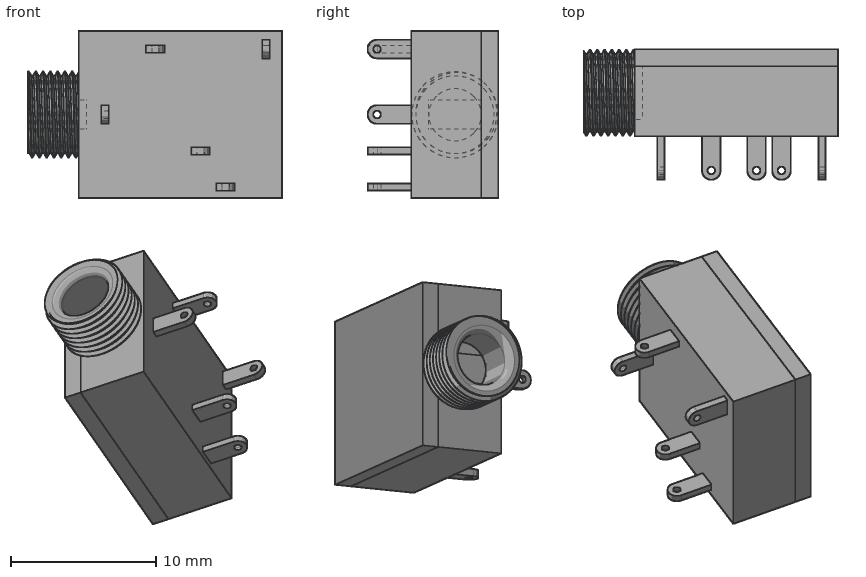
import cadquery as cq
import math

BUSHING_LENGTH = 3.5
BOX_LENGTH = 14.0
BOX_DEPTH = 6.0
BOX_HEIGHT = 11.5
COVER_THICKNESS = 1.19
FRONT_FACE_Y = -BOX_DEPTH / 2
BACK_FACE_Y = BOX_DEPTH / 2
JOINT_Y = BACK_FACE_Y - COVER_THICKNESS

BORE_DIAMETER = 3.6
MOUTH_RADIUS = 0.5
THREAD_DIAMETER = 5.93
CORE_DIAMETER = 5.35
THREAD_PITCH = 0.5
THREAD_FLANK_ANGLE = 30.0
CREST_WIDTH = 0.04
THREAD_ROOT_OVERLAP = 0.05
FIRST_CREST_X = 0.05

SHEET_THICKNESS = 0.5
TERMINAL_WIDTH = 1.3
TERMINAL_LENGTH = 3.0
TERMINAL_HOLE_DIAMETER = 0.5
CONTACT_HEIGHT = 2.0
CONTACT_WIDTH = 2 * JOINT_Y

TERMINAL_PLACES = [
    (5.3, 0.0, True),
    (16.38, 4.5, True),
    (8.77, 4.5, False),
    (11.88, -2.5, False),
    (13.6, -4.99, False),
]


def box_between(x_start, length, y_start, y_end, height):
    """Block centred on Z = 0."""
    block = cq.Workplane("XY").box(length, y_end - y_start, height, centered=(False, False, True))
    return block.translate((x_start, y_start, 0))


def make_contact():
    """Flat bar flush with the housing wall behind the bore."""
    return box_between(
        BUSHING_LENGTH, SHEET_THICKNESS, -CONTACT_WIDTH / 2, CONTACT_WIDTH / 2, CONTACT_HEIGHT
    )


def make_housing():
    """Main block, with a recess that holds the contact."""
    block = box_between(BUSHING_LENGTH, BOX_LENGTH, FRONT_FACE_Y, JOINT_Y, BOX_HEIGHT)
    return block.cut(make_contact())


def make_cover():
    return box_between(BUSHING_LENGTH, BOX_LENGTH, JOINT_Y, BACK_FACE_Y, BOX_HEIGHT)


def make_thread():
    """Right-handed ridge along +X that runs past both ends of the bushing."""
    crest_radius = THREAD_DIAMETER / 2
    root_radius = CORE_DIAMETER / 2 - THREAD_ROOT_OVERLAP
    flank_run = (crest_radius - root_radius) * math.tan(math.radians(THREAD_FLANK_ANGLE))
    crest_half = CREST_WIDTH / 2
    root_half = crest_half + flank_run

    helix_length = BUSHING_LENGTH + 3 * THREAD_PITCH
    helix = cq.Wire.makeHelix(THREAD_PITCH, helix_length, root_radius)
    profile = cq.Workplane("XZ").polyline([
        (root_radius, -root_half),
        (crest_radius, -crest_half),
        (crest_radius, crest_half),
        (root_radius, root_half),
    ]).close()
    ridge = profile.sweep(cq.Workplane(obj=helix), isFrenet=True)

    ridge = ridge.rotate((0, 0, 0), (0, 1, 0), 90)
    start_x = FIRST_CREST_X - 1.5 * THREAD_PITCH
    return ridge.translate((start_x, 0, 0))


def make_bushing():
    """Threaded tube with a rounded mouth."""
    core = cq.Workplane("YZ").circle(CORE_DIAMETER / 2).extrude(BUSHING_LENGTH)
    envelope = cq.Workplane("YZ").circle(THREAD_DIAMETER).extrude(BUSHING_LENGTH)
    threaded = core.union(make_thread().intersect(envelope))

    bore_radius = BORE_DIAMETER / 2
    mouth_edge_radius = bore_radius + MOUTH_RADIUS
    arc_offset = MOUTH_RADIUS * (1 - math.sqrt(0.5))
    bore = (
        cq.Workplane("XY")
        .moveTo(0, 0)
        .lineTo(0, mouth_edge_radius)
        .threePointArc((arc_offset, bore_radius + arc_offset), (MOUTH_RADIUS, bore_radius))
        .lineTo(BUSHING_LENGTH, bore_radius)
        .lineTo(BUSHING_LENGTH, 0)
        .close()
        .revolve(360, (0, 0, 0), (1, 0, 0))
    )
    return threaded.cut(bore)


def make_terminal(x, z, faces_along_x):
    """Round-ended tab with a hole, standing on the front face of the housing."""
    half_width = TERMINAL_WIDTH / 2
    hole_y = half_width - TERMINAL_LENGTH
    tab = (
        cq.Workplane("XY")
        .moveTo(-half_width, 0)
        .lineTo(-half_width, hole_y)
        .threePointArc((0, -TERMINAL_LENGTH), (half_width, hole_y))
        .lineTo(half_width, 0)
        .close()
        .extrude(SHEET_THICKNESS / 2, both=True)
    )
    hole = (
        cq.Workplane("XY")
        .center(0, hole_y)
        .circle(TERMINAL_HOLE_DIAMETER / 2)
        .extrude(SHEET_THICKNESS, both=True)
    )
    tab = tab.cut(hole)
    if faces_along_x:
        tab = tab.rotate((0, 0, 0), (0, 1, 0), 90)
    return tab.translate((x, FRONT_FACE_Y, z))


housing = make_housing()
cover = make_cover()
bushing = make_bushing()
contact = make_contact()
terminals = [make_terminal(*place) for place in TERMINAL_PLACES]

result = cq.Compound.makeCompound([
    housing.solids().val(),
    cover.val(),
    bushing.solids().val(),
    contact.val(),
    *[terminal.solids().val() for terminal in terminals],
])